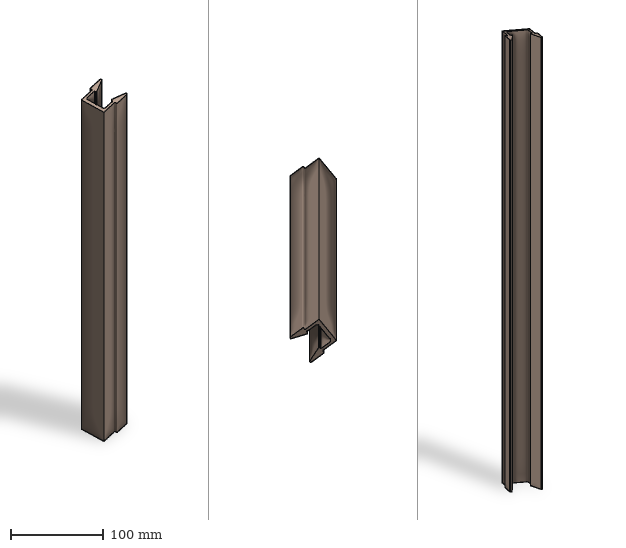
import cadquery as cq

length = 508.0
overall_width = 37.0
overall_depth = 38.0

channel_width = 31.0
wall_thickness = 3.0
floor_thickness = 4.5
inner_corner_radius = 2.5

shoulder_height = 19.5
lip_opening = 20.5
shoulder_radius = 0.5
neck_fillet = 0.5
lip_face_height = 0.5
lip_chamfer = 1.0
tip_width = 2.0
tip_chamfer_width = 0.5
tip_chamfer_height = 1.5

outer_x = overall_width / 2
channel_x = channel_width / 2
cavity_x = channel_x - wall_thickness
lip_x = lip_opening / 2
tip_x = outer_x - tip_width
lip_bottom = shoulder_height + lip_chamfer
lip_top = lip_bottom + lip_face_height


def half_profile():
    """Right half of the section, closed along the symmetry plane."""
    return (
        cq.Workplane("XY")
        .moveTo(0, 0)
        .lineTo(channel_x, 0)
        .lineTo(channel_x, shoulder_height - neck_fillet)
        .radiusArc((channel_x + neck_fillet, shoulder_height), neck_fillet)
        .lineTo(outer_x - shoulder_radius, shoulder_height)
        .radiusArc((outer_x, shoulder_height + shoulder_radius), -shoulder_radius)
        .lineTo(outer_x, overall_depth - tip_chamfer_height)
        .lineTo(outer_x - tip_chamfer_width, overall_depth)
        .lineTo(tip_x, overall_depth)
        .lineTo(lip_x, lip_top)
        .lineTo(lip_x, lip_bottom)
        .lineTo(lip_x + lip_chamfer, shoulder_height)
        .lineTo(cavity_x, shoulder_height)
        .lineTo(cavity_x, floor_thickness + inner_corner_radius)
        .radiusArc((cavity_x - inner_corner_radius, floor_thickness), inner_corner_radius)
        .lineTo(0, floor_thickness)
        .close()
    )


half = half_profile().extrude(length)
channel = half.union(half.mirror("YZ")).clean()
result = channel.translate((0, -overall_depth / 2, -length / 2))